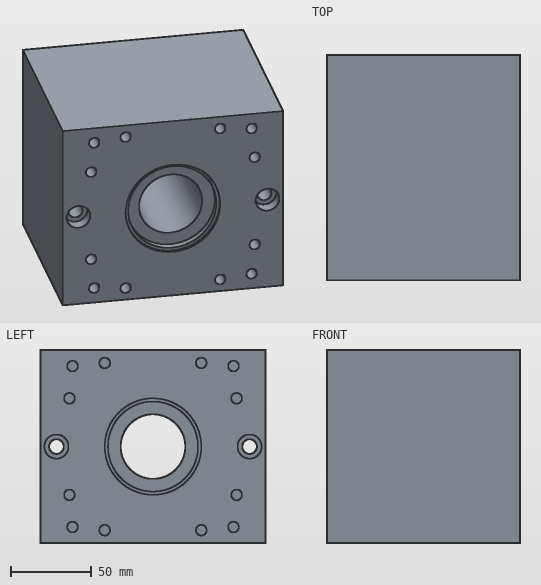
import cadquery as cq
import math

length_x = 120
width_y = 140
height_z = 120
port_face_x = -length_x / 2

bore_diameter = 40
seat_diameter = 56
seat_depth = 7
lip_diameter = 60
lip_depth = 2

hole_circle_radius = 60
flange_hole_angle = 30

bolt_diameter = 9
bolt_head_diameter = 15
bolt_head_depth = 9

tapping_diameter = 6.65
tapping_depth = 20
corner_offset = 50
flange_near_offset = hole_circle_radius * math.sin(math.radians(flange_hole_angle))
flange_far_offset = hole_circle_radius * math.cos(math.radians(flange_hole_angle))


def mirrored(y, z):
    """Return the (y, z) position repeated in all four quadrants."""
    return [(side_y * y, side_z * z) for side_y in (-1, 1) for side_z in (-1, 1)]


def drill(diameter, depth, positions):
    """Return cylinders going in from the -X face at the given (y, z) positions."""
    face = cq.Workplane("YZ", origin=(port_face_x, 0, 0))
    return face.pushPoints(positions).circle(diameter / 2).extrude(depth)


def cut_central_bore(body):
    centre = [(0, 0)]
    body = body.cut(drill(bore_diameter, length_x, centre))
    body = body.cut(drill(seat_diameter, seat_depth, centre))
    return body.cut(drill(lip_diameter, lip_depth, centre))


def cut_bolt_holes(body):
    positions = [(-hole_circle_radius, 0), (hole_circle_radius, 0)]
    body = body.cut(drill(bolt_diameter, length_x, positions))
    return body.cut(drill(bolt_head_diameter, bolt_head_depth, positions))


def cut_tapping_holes(body):
    positions = (
        mirrored(corner_offset, corner_offset)
        + mirrored(flange_near_offset, flange_far_offset)
        + mirrored(flange_far_offset, flange_near_offset)
    )
    return body.cut(drill(tapping_diameter, tapping_depth, positions))


block = cq.Workplane("XY").box(length_x, width_y, height_z)
block = cut_central_bore(block)
block = cut_bolt_holes(block)
result = cut_tapping_holes(block)